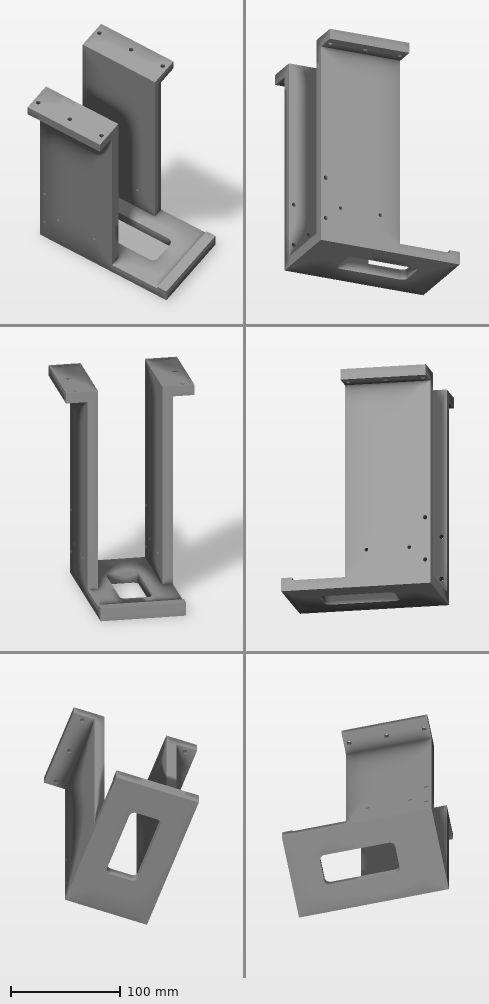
import cadquery as cq

height = 202.0
base_length = 140.0
flange_span = 120.0

channel_width = 80.0
channel_gap = 60.0
wall = (channel_width - channel_gap) / 2
upright_length = 80.0

lip_height = 12.5
lip_length = wall

window_start = 40.0
window_length = 70.0
window_width = 30.0
window_radius = 5.0

flange_hole_diameter = 4.2
flange_hole_y = (flange_span - wall * 2) / 2
edge_offset = wall / 2
flange_hole_xs = (edge_offset, upright_length / 2, upright_length - edge_offset)

edge_hole_diameter = 4.0
edge_hole_zs = (22.5, 62.5)
inner_hole_diameter = 3.5
inner_hole_xs = (20.0, 60.0)
inner_hole_z = 35.0


def block(x_start, length, y_center, width, z_start, z_end):
    """Box given by its starting X, its center in Y and its Z range."""
    box = cq.Workplane("XY").box(length, width, z_end - z_start, centered=(False, True, False))
    return box.translate((x_start, y_center, z_start))


def upright(side):
    """One wall with its outward flange; side is +1 or -1 along Y."""
    wall_y = side * (channel_width - wall) / 2
    flange_width = (flange_span - channel_gap) / 2
    flange_y = side * (flange_span - flange_width) / 2
    plate = block(0, upright_length, wall_y, wall, 0, height)
    flange = block(0, upright_length, flange_y, flange_width, height - wall, height)
    return plate.union(flange)


def cross_holes(points, diameter):
    """Cutters along Y, through both uprights, at the given X, Z points."""
    holes = cq.Workplane("XZ").pushPoints(points).circle(diameter / 2)
    return holes.extrude(channel_width, both=True)


body = block(0, base_length, 0, channel_width, 0, wall)
body = body.union(block(base_length - lip_length, lip_length, 0, channel_width, 0, lip_height))
for side in (-1, 1):
    body = body.union(upright(side))

window = block(window_start, window_length, 0, window_width, 0, wall)
body = body.cut(window.edges("|Z").fillet(window_radius))

flange_points = [(x, side * flange_hole_y) for x in flange_hole_xs for side in (-1, 1)]
flange_holes = cq.Workplane("XY").workplane(offset=height - wall)
flange_holes = flange_holes.pushPoints(flange_points).circle(flange_hole_diameter / 2).extrude(wall)
body = body.cut(flange_holes)

body = body.cut(cross_holes([(edge_offset, z) for z in edge_hole_zs], edge_hole_diameter))
body = body.cut(cross_holes([(x, inner_hole_z) for x in inner_hole_xs], inner_hole_diameter))

result = body